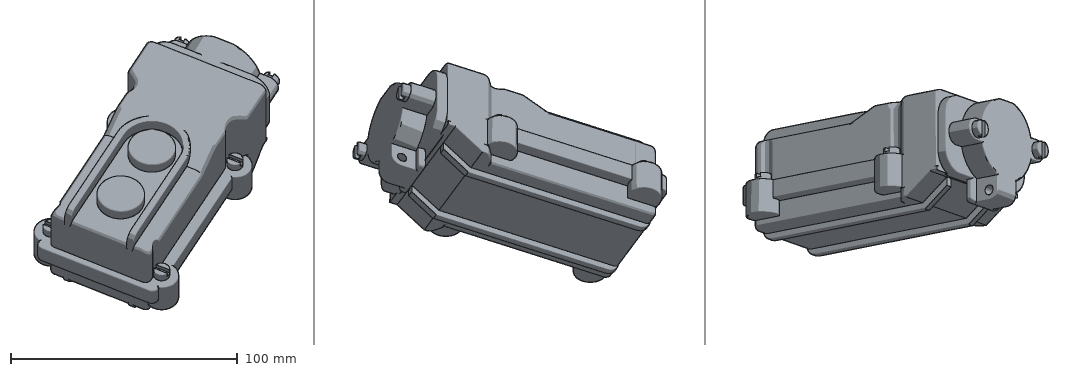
import cadquery as cq
import math

total_width = 70.0
total_length = 128.5
top_z = 50.5

wide_half = 29.7
narrow_half = 24.7
front_y = 3.2
back_y = 108.5
bottom_z = 3.1
low_top_z = 44.6
slope_top_y = 68.6
slope_low_y = 55.5
ridge_radius = 3.9
tail_z = 12.7
tail_y = 104.9
tail_low_y = 91.5
side_fillet = 3.9
front_fillet = 2.8
base_fillet = 2.6
rear_fillet = 1.0
tail_fillet = 0.6

nose_radius = 5.5

overlap = 1.3

flange_bottom_z = 14.6
flange_top_z = 23.4
flange_corner = 3.2
flange_fillet = 0.9
flange_base_fillet = 0.6
boss_radius = 7.6
boss_x = total_width / 2 - boss_radius
boss_rows = (10.9, 81.9)
boss_bottom_z = 7.7
boss_fillet = 0.6
screw_radius = 3.6
screw_height = 3.9
slot_width = 2.2
slot_depth = 1.9
screw_fillet = 0.4
clearance_radius = 4.1
clearance_fillet = 0.5
shoulder_radius = 4.0
shoulder_angle = math.radians(53.7)

rim_outer = 17.1
rim_inner = 13.7
rim_root_z = 38.5
rim_fillet = 0.5
button_rows = (24.8, 54.9)
button_radius = 10.5
button_top_z = 49.6
button_fillet = 1.0

runner_inner = 14.5
runner_outer = 17.6
runner_back_step = 3.9
runner_low_y = 92.8
runner_fillet = 0.5

gland_z = 30.2
collar_width = 57.8
collar_height = 36.0
collar_corner = 10.0
collar_end_y = 113.2
collar_fillet = 0.8
cap_end_y = 124.9
cap_radius = 18.6
lobe_radius = 5.1
lobe_x = 22.1
cap_fillet = 0.6
gland_screw_radius = 3.9
gland_screw_fillet = 0.6
tab_half = 6.8
tab_fillet = 0.5
tab_bottom_z = 1.9
tab_corner = 4.9
tab_hole_radius = 2.2
tab_hole_y = 120.0
tab_hole_z = 6.7
lip_half = 10.3
lip_start_y = 109.9
lip_corner = 1.9
lip_fillet = 1.0


def mirrored(shape):
    """Return the shape together with its mirror image across X = 0."""
    return shape.union(shape.mirror("YZ"))


def block(x0, x1, y0, y1, z0, z1):
    return cq.Workplane("XY").box(x1 - x0, y1 - y0, z1 - z0, centered=False).translate((x0, y0, z0))


def cylinder(x, y, radius, z0, z1):
    return cq.Workplane("XY", origin=(x, y, z0)).circle(radius).extrude(z1 - z0)


def side_extrusion(sketch, x0, x1):
    """Extrude a closed Y-Z sketch from x0 to x1."""
    return sketch.extrude(x1 - x0).translate((x0, 0, 0))


def slotted_screw(radius, height, fillet):
    """Screw head standing on Z = 0 with its slot along X."""
    head = cq.Workplane("XY").circle(radius).extrude(height).faces(">Z").edges().fillet(fillet)
    slot = block(-radius, radius, -slot_width / 2, slot_width / 2, height - slot_depth, height)
    return head.cut(slot)


def on_circle(center, radius, angle):
    return (center[0] + radius * math.cos(angle), center[1] + radius * math.sin(angle))


def shoulder_points():
    """Arc tangent to the wide side wall and to the slanted line that leads into the neck."""
    center_x = wide_half - shoulder_radius
    reach = clearance_radius + shoulder_radius
    rise = (reach + (center_x - boss_x) * math.cos(shoulder_angle)) / math.sin(shoulder_angle)
    center = (center_x, boss_rows[1] + rise)
    return [on_circle(center, shoulder_radius, -turn * shoulder_angle) for turn in (0, 0.5, 1)]


def shoulder_outline(z):
    """Right half of the plan outline, begun on the centre line and led round the shoulder."""
    top, middle, end = shoulder_points()
    outline = cq.Workplane("XY", origin=(0, 0, z)).moveTo(0, back_y).lineTo(wide_half, back_y)
    return outline.lineTo(*top).threePointArc(middle, end)


def necked_outline(z):
    """Right half of the plan outline, necked in around the rear screw by an arc about its axis."""
    hub = (boss_x, boss_rows[1])
    neck_angle = math.pi - shoulder_angle
    neck_start = on_circle(hub, clearance_radius, neck_angle)
    reach = clearance_radius + shoulder_radius
    waist_x = narrow_half - shoulder_radius
    waist_angle = math.pi + math.acos((hub[0] - waist_x) / reach)
    waist = on_circle(hub, reach, waist_angle)
    neck_mid = on_circle(hub, clearance_radius, (neck_angle + waist_angle) / 2)
    neck_end = on_circle(hub, clearance_radius, waist_angle)
    waist_mid = on_circle(waist, shoulder_radius, (waist_angle - math.pi) / 2)

    outline = shoulder_outline(z).lineTo(*neck_start).threePointArc(neck_mid, neck_end)
    outline = outline.threePointArc(waist_mid, (narrow_half, waist[1]))
    return outline.lineTo(narrow_half, front_y).lineTo(0, front_y).close()


def upper_housing():
    full = mirrored(necked_outline(flange_bottom_z).extrude(top_z - flange_bottom_z))
    slope_angle = math.atan2(top_z - low_top_z, slope_top_y - slope_low_y)
    setback = ridge_radius * math.tan(slope_angle / 2)
    ridge_center = (slope_top_y + setback, top_z - ridge_radius)
    ridge_start, ridge_mid, ridge_end = (
        on_circle(ridge_center, ridge_radius, math.pi / 2 + turn * slope_angle) for turn in (1, 0.5, 0)
    )
    profile = (
        cq.Workplane("YZ").moveTo(front_y, flange_bottom_z).lineTo(front_y, low_top_z)
        .lineTo(slope_low_y, low_top_z)
        .lineTo(*ridge_start).threePointArc(ridge_mid, ridge_end)
        .lineTo(back_y, top_z).lineTo(back_y, flange_bottom_z).close()
    )
    body = full.intersect(side_extrusion(profile, -wide_half, wide_half))
    crown = cq.selectors.BoxSelector(
        (-total_width, front_y + overlap, low_top_z - overlap),
        (total_width, slope_top_y, top_z),
    )
    body = body.edges(crown).edges("(not |X) and (not |Z)").fillet(side_fillet)
    body = body.faces("<Y").edges("not <Z").fillet(front_fillet)
    return body.faces(">Y").edges("not <Z").fillet(rear_fillet)


def lower_housing():
    shoulder_x, shoulder_y = shoulder_points()[2]
    narrow_end_y = shoulder_y - (shoulder_x - narrow_half) / math.tan(shoulder_angle)
    outline = shoulder_outline(bottom_z).lineTo(narrow_half, narrow_end_y).lineTo(0, narrow_end_y).close()
    wide = mirrored(outline.extrude(flange_bottom_z - bottom_z))
    tail = (
        cq.Workplane("YZ").moveTo(back_y, tail_z).lineTo(tail_y, tail_z)
        .lineTo(tail_low_y, bottom_z).lineTo(back_y, bottom_z).close()
    )
    wide = wide.cut(side_extrusion(tail, -wide_half, wide_half))
    tail_edges = cq.selectors.BoxSelector(
        (-total_width, narrow_end_y + overlap, bottom_z - overlap),
        (total_width, back_y - overlap, tail_z + overlap),
    )
    wide = wide.edges(tail_edges).edges("(not |X) and (not |Z)").fillet(tail_fillet)
    narrow = block(-narrow_half, narrow_half, front_y, narrow_end_y, bottom_z, flange_bottom_z)
    narrow = narrow.edges("|Y and <Z").fillet(base_fillet)
    narrow = narrow.faces("<Y").edges("not >Z").fillet(base_fillet)
    return wide.union(narrow)


def runner():
    """One rail under the housing, following the rising tail and rounded at the front."""
    profile = (
        cq.Workplane("YZ").moveTo(tail_y, tail_z).lineTo(tail_y, tail_z - runner_back_step)
        .lineTo(runner_low_y, 0).lineTo(front_y + nose_radius, 0)
        .radiusArc((front_y, nose_radius), nose_radius).lineTo(front_y, tail_z).close()
    )
    rail = side_extrusion(profile, runner_inner, runner_outer)
    return rail.faces("<Z").edges("|Y").fillet(runner_fillet)


def flange():
    end_y = shoulder_points()[0][1]
    plate = block(-wide_half, wide_half, 0, end_y, flange_bottom_z, flange_top_z)
    plate = plate.edges("|Z and <Y").fillet(flange_corner)
    plate = plate.faces("<Z").edges("not >Y").fillet(flange_base_fillet)
    for x in (-boss_x, boss_x):
        for y in boss_rows:
            boss = cylinder(x, y, boss_radius, boss_bottom_z, flange_top_z)
            plate = plate.union(boss.faces("<Z").edges().fillet(boss_fillet))
    plate = plate.faces(">Z").edges("not >Y").fillet(flange_fillet)
    filler = block(-wide_half, wide_half, boss_rows[1], end_y, boss_bottom_z, flange_top_z - flange_fillet)
    return plate.union(filler)


def u_shape(radius, z0, z1):
    """Slab with straight sides and a half-round back end, open towards the front."""
    arch_y = button_rows[1]
    straight = block(-radius, radius, front_y, arch_y, z0, z1)
    return straight.union(cylinder(0, arch_y, radius, z0, z1))


def add_keypad(body):
    rim = u_shape(rim_outer, rim_root_z, top_z).edges("<Y and >Z").fillet(nose_radius)
    opening = u_shape(rim_inner, low_top_z, top_z)
    recess_front = block(-rim_inner, rim_inner, front_y, front_y + nose_radius, rim_root_z, low_top_z)
    body = body.union(rim.cut(recess_front).cut(opening)).cut(opening)
    leg_y = (front_y + button_rows[1]) / 2
    for x in (-rim_outer, rim_outer, rim_inner):
        leg_edge = cq.selectors.NearestToPointSelector((x, leg_y, top_z))
        body = body.edges(leg_edge).fillet(rim_fillet)
    for y in button_rows:
        button = cylinder(0, y, button_radius, low_top_z - overlap, button_top_z)
        body = body.union(button.faces(">Z").edges().fillet(button_fillet))
    return body


def gland_section(y):
    """Workplane across the gland axis at y; extruding from it goes towards the front."""
    return cq.Workplane("XZ", origin=(0, y, gland_z))


def cable_gland():
    collar_depth = collar_end_y - back_y + overlap
    collar = gland_section(collar_end_y).rect(collar_width, collar_height).extrude(collar_depth)
    collar = collar.edges("|Y").fillet(collar_corner).faces(">Y").edges().fillet(collar_fillet)

    depth = cap_end_y - collar_end_y + collar_fillet
    cap = gland_section(cap_end_y).circle(cap_radius).extrude(depth)
    cap = cap.intersect(gland_section(cap_end_y).rect(2 * cap_radius, collar_height).extrude(depth))
    lobes = gland_section(cap_end_y).slot2D(2 * (lobe_x + lobe_radius), 2 * lobe_radius).extrude(depth)
    cap = cap.union(lobes).faces(">Y").edges().fillet(cap_fillet)

    tab = block(-tab_half, tab_half, collar_end_y - overlap, cap_end_y, tab_bottom_z, gland_z)
    tab = tab.edges("<Z and >Y").fillet(tab_corner).faces(">Y").edges("|Z").fillet(tab_fillet)
    hole = cq.Workplane("YZ").center(tab_hole_y, tab_hole_z).circle(tab_hole_radius)
    tab = tab.cut(hole.extrude(tab_half, both=True))
    lip = block(-lip_half, lip_half, lip_start_y, collar_end_y, tab_bottom_z, gland_z)
    lip = lip.edges("|Y and <Z").fillet(lip_corner)
    lip = lip.faces("<Y or >Y").edges("not >Z").fillet(lip_fillet)

    gland = collar.union(cap).union(tab).union(lip)
    screw = slotted_screw(gland_screw_radius, total_length - cap_end_y, gland_screw_fillet)
    screw = screw.rotate((0, 0, 0), (0, 0, 1), 90).rotate((0, 0, 0), (1, 0, 0), -90)
    for x in (-lobe_x, lobe_x):
        gland = gland.union(screw.translate((x, cap_end_y, gland_z)))
    return gland


def cut_screw_groove(body, x):
    """Cut the rounded groove that clears the front boss screw at x."""
    body = body.cut(cylinder(x, boss_rows[0], clearance_radius, flange_top_z, low_top_z))
    wall_x = math.copysign(narrow_half, x)
    groove_z = (flange_top_z + low_top_z) / 2
    groove_side = (wall_x, boss_rows[0] + clearance_radius, groove_z)
    return body.edges(cq.selectors.NearestToPointSelector(groove_side)).fillet(clearance_fillet)


body = add_keypad(upper_housing())
for x in (-boss_x, boss_x):
    body = cut_screw_groove(body, x)
body = body.union(lower_housing()).union(flange()).union(mirrored(runner())).union(cable_gland())

boss_screw = slotted_screw(screw_radius, screw_height, screw_fillet)
for x in (-boss_x, boss_x):
    for y in boss_rows:
        body = body.union(boss_screw.translate((x, y, flange_top_z)))

result = body.clean()